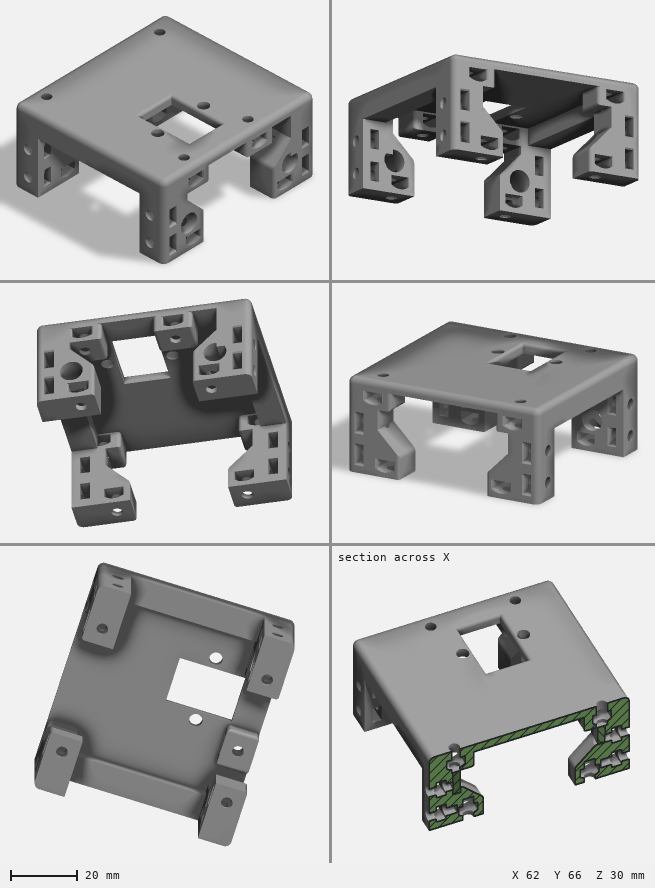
import cadquery as cq

LENGTH = 62.0
WIDTH = 66.0
HEIGHT = 30.0
EDGE_RADIUS = 2.0
LID = 3.2
LID_BOTTOM = HEIGHT - LID

RAIL_THICKNESS = 8.0
RAIL_BOTTOM = 21.6
LEG_LENGTH = 9.95
SPACER_THICKNESS = 2.45
LEG_DEPTH = RAIL_THICKNESS + SPACER_THICKNESS

FOOT_REACH = 17.95
LEFT_TIP_HEIGHT = 7.2
RIGHT_TIP_HEIGHT = 11.1
FOOT_CREST_RADIUS = 2.0
FOOT_SIDE_RADIUS = 1.0

BOSS_WIDTH = 12.0
BOSS_BOTTOM = HEIGHT - 9.0
BOSS_SIDE_RADIUS = 1.2
BOSS_BOTTOM_RADIUS = 1.0
SCREW_DIAMETER = 3.5

NUT_WIDTH = 6.0
NUT_SIDE_HEIGHT = 3.0
NUT_SAG = 1.05
NUT_FLARE = 0.4
UPPER_NUT_TOP = 26.35
LOWER_NUT_TOP = 5.55
SLOT_WIDTH = 3.05
SLOT_INSET = 2.6
SLOT_RISE = 0.2

TOP_SCREWS = [
    (-1, -1, 4.95, 9.0),
    (-1, 1, 6.2, 8.9),
    (1, -1, 5.0, 14.1),
    (1, 1, 5.0, 24.0),
]
SIDE_SCREW_X_INSET = 5.8
UPPER_SIDE_SCREW_Z = 15.6
LOWER_SIDE_SCREW_Z = 5.55
SIDE_SCREW_DEPTH = 12.0
SHORT_SIDE_SCREW_DEPTH = 9.25
BOTTOM_SCREW_X_INSET = 5.0
BOTTOM_SCREW_Y_INSET = 13.0
BOTTOM_SCREW_DEPTH = 8.4

BORE_DIAMETER = 7.0
BORE_Y_INSET = 10.95
BORE_Z = 10.0

WINDOW_LENGTH = 20.8
WINDOW_WIDTH = 14.05
WINDOW_X = 11.4
WINDOW_Y = -5.0
WINDOW_RADIUS = 1.0
WINDOW_HOLE_DIAMETER = 4.0
WINDOW_HOLE_SPACING = 20.0

FRONT_SPACER_BOTTOM = 14.1
BACK_SPACER_BOTTOM = 12.0

CORNERS = [(-1, -1), (-1, 1), (1, -1), (1, 1)]


def at_corner(shape, x_side, y_side):
    """Move a shape drawn inward from the corner (0, 0) to one corner of the shell."""
    placed = shape.translate((-LENGTH / 2, -WIDTH / 2, 0))
    if x_side > 0:
        placed = placed.mirror("YZ")
    if y_side > 0:
        placed = placed.mirror("XZ")
    return placed


def block(x_size, y_size, z_low, z_high, x=0, y=0):
    """Box with its lowest corner at (x, y, z_low)."""
    box = cq.Workplane("XY").box(x_size, y_size, z_high - z_low, centered=False)
    return box.translate((x, y, z_low))


def foot(tip_height):
    """Leg foot with a 45 degree top, a rounded crest and one rounded outer upright edge."""
    crest_run = FOOT_REACH - RAIL_THICKNESS
    profile = (
        cq.Workplane("YZ")
        .polyline([
            (0, 0),
            (FOOT_REACH, 0),
            (FOOT_REACH, tip_height),
            (RAIL_THICKNESS, tip_height + crest_run),
            (0, tip_height + crest_run),
        ])
        .close()
        .extrude(LEG_LENGTH)
    )
    crest = cq.selectors.NearestToPointSelector((LEG_LENGTH / 2, FOOT_REACH, tip_height))
    profile = profile.edges(crest).fillet(FOOT_CREST_RADIUS)
    plan = block(LEG_LENGTH, FOOT_REACH, 0, RAIL_BOTTOM)
    plan = plan.edges("|Z and <X and >Y").fillet(FOOT_SIDE_RADIUS)
    return profile.intersect(plan)


def leg(tip_height):
    """Upright column with its foot and the thicker head under the lid."""
    column = block(LEG_LENGTH, RAIL_THICKNESS, 0, HEIGHT)
    head = block(LEG_LENGTH, LEG_DEPTH, BOSS_BOTTOM, HEIGHT)
    return column.union(head).union(foot(tip_height))


def boss(y_inset):
    """Block under the lid with rounded upright edges and rounded lower side edges."""
    y_low = y_inset - BOSS_WIDTH / 2
    plan = block(LEG_LENGTH, BOSS_WIDTH, BOSS_BOTTOM, LID_BOTTOM, y=y_low)
    profile = plan.edges("|X and <Z").fillet(BOSS_BOTTOM_RADIUS)
    return profile.intersect(plan.edges("|Z").fillet(BOSS_SIDE_RADIUS))


def nut_opening(y_inset, top):
    """Opening along X with an arched floor and side walls flared at the outer face."""
    half = NUT_WIDTH / 2
    side_low = top - NUT_SIDE_HEIGHT

    def outline(half_width):
        return (
            cq.Workplane("YZ")
            .moveTo(y_inset - half_width, top)
            .lineTo(y_inset - half_width, side_low)
            .threePointArc((y_inset, side_low - NUT_SAG), (y_inset + half_width, side_low))
            .lineTo(y_inset + half_width, top)
            .close()
        )

    flare = (
        cq.Workplane("XY")
        .polyline([
            (0, y_inset - half - NUT_FLARE),
            (0, y_inset + half + NUT_FLARE),
            (NUT_FLARE, y_inset + half),
            (NUT_FLARE, y_inset - half),
        ])
        .close()
        .extrude(HEIGHT)
    )
    mouth = outline(half + NUT_FLARE).extrude(NUT_FLARE).intersect(flare)
    return outline(half).extrude(LEG_LENGTH).union(mouth)


def nut_slot(z):
    """Upright slot along X for a side screw's nut, flared at its ends at the outer face."""
    half = NUT_WIDTH / 2
    return (
        cq.Workplane("XZ")
        .polyline([
            (0, z - half - NUT_FLARE),
            (NUT_FLARE, z - half),
            (LEG_LENGTH, z - half),
            (LEG_LENGTH, z + half),
            (NUT_FLARE, z + half),
            (0, z + half + NUT_FLARE),
        ])
        .close()
        .extrude(-SLOT_WIDTH)
        .translate((0, SLOT_INSET, 0))
    )


def upright_hole(x, y, diameter, z_low, z_high):
    """Cylinder along Z."""
    return (
        cq.Workplane("XY", origin=(x, y, z_low))
        .circle(diameter / 2)
        .extrude(z_high - z_low)
    )


def side_screw_hole(z, depth):
    """Blind hole along Y from the outer face of a leg."""
    return (
        cq.Workplane("XZ", origin=(SIDE_SCREW_X_INSET, 0, z))
        .circle(SCREW_DIAMETER / 2)
        .extrude(-depth)
    )


def bottom_screw_hole():
    """Blind hole from the bottom of a foot, up through its nut opening."""
    return upright_hole(
        BOTTOM_SCREW_X_INSET,
        BOTTOM_SCREW_Y_INSET,
        SCREW_DIAMETER,
        0,
        BOTTOM_SCREW_DEPTH,
    )


def cross_bore():
    """Hole along X through a leg."""
    return (
        cq.Workplane("YZ", origin=(0, BORE_Y_INSET, BORE_Z))
        .circle(BORE_DIAMETER / 2)
        .extrude(LEG_LENGTH)
    )


def rounded_envelope():
    """Outer block with rounded upright and top edges."""
    envelope = block(LENGTH, WIDTH, 0, HEIGHT, -LENGTH / 2, -WIDTH / 2)
    return envelope.edges("|Z or >Z").fillet(EDGE_RADIUS)


def window():
    """Rectangular opening through the lid with a convex rounded rim."""
    lid_slab = block(LENGTH, WIDTH, LID_BOTTOM, HEIGHT, -LENGTH / 2, -WIDTH / 2)
    opening = block(
        WINDOW_LENGTH,
        WINDOW_WIDTH,
        LID_BOTTOM,
        HEIGHT,
        WINDOW_X - WINDOW_LENGTH / 2,
        WINDOW_Y - WINDOW_WIDTH / 2,
    )
    rim = cq.selectors.BoxSelector(
        (WINDOW_X - WINDOW_LENGTH, WINDOW_Y - WINDOW_WIDTH, HEIGHT - WINDOW_RADIUS),
        (WINDOW_X + WINDOW_LENGTH, WINDOW_Y + WINDOW_WIDTH, HEIGHT + WINDOW_RADIUS),
    )
    pierced = lid_slab.cut(opening).edges(rim).fillet(WINDOW_RADIUS)
    return lid_slab.cut(pierced)


def spacer(y_side):
    """Bar lining the inner face of a leg, from the leg head down into its foot."""
    bottom = FRONT_SPACER_BOTTOM if y_side < 0 else BACK_SPACER_BOTTOM
    return block(LEG_LENGTH, SPACER_THICKNESS, bottom, BOSS_BOTTOM, y=RAIL_THICKNESS)


def make_housing():
    """Lid, rails, legs and bosses in one solid, with every opening cut."""
    body = block(LENGTH, WIDTH, LID_BOTTOM, HEIGHT, -LENGTH / 2, -WIDTH / 2)
    for y_side in (-1, 1):
        rail = block(LENGTH, RAIL_THICKNESS, RAIL_BOTTOM, HEIGHT)
        body = body.union(at_corner(rail, -1, y_side))
    for x_side, y_side in CORNERS:
        tip_height = LEFT_TIP_HEIGHT if x_side < 0 else RIGHT_TIP_HEIGHT
        body = body.union(at_corner(leg(tip_height), x_side, y_side))
    for x_side, y_side, _, y_inset in TOP_SCREWS:
        body = body.union(at_corner(boss(y_inset), x_side, y_side))
    body = body.intersect(rounded_envelope())

    for x_side, y_side, x_inset, y_inset in TOP_SCREWS:
        screw = upright_hole(x_inset, y_inset, SCREW_DIAMETER, BOSS_BOTTOM, HEIGHT)
        body = body.cut(at_corner(screw, x_side, y_side))
        body = body.cut(at_corner(nut_opening(y_inset, UPPER_NUT_TOP), x_side, y_side))

    for x_side, y_side in CORNERS:
        lower_depth = SHORT_SIDE_SCREW_DEPTH if x_side < 0 else SIDE_SCREW_DEPTH
        cutters = [
            nut_slot(UPPER_SIDE_SCREW_Z + SLOT_RISE),
            nut_slot(LOWER_SIDE_SCREW_Z + SLOT_RISE),
            side_screw_hole(UPPER_SIDE_SCREW_Z, SIDE_SCREW_DEPTH),
            side_screw_hole(LOWER_SIDE_SCREW_Z, lower_depth),
            nut_opening(BOTTOM_SCREW_Y_INSET, LOWER_NUT_TOP),
            bottom_screw_hole(),
            spacer(y_side),
        ]
        if x_side > 0:
            cutters.append(cross_bore())
        for cutter in cutters:
            body = body.cut(at_corner(cutter, x_side, y_side))

    body = body.cut(window())
    for side in (-1, 1):
        hole_y = WINDOW_Y + side * WINDOW_HOLE_SPACING / 2
        body = body.cut(upright_hole(WINDOW_X, hole_y, WINDOW_HOLE_DIAMETER, LID_BOTTOM, HEIGHT))
    return body


housing = make_housing()
spacers = [at_corner(spacer(y_side), x_side, y_side) for x_side, y_side in CORNERS]

result = cq.Compound.makeCompound([housing.val(), *[bar.val() for bar in spacers]])